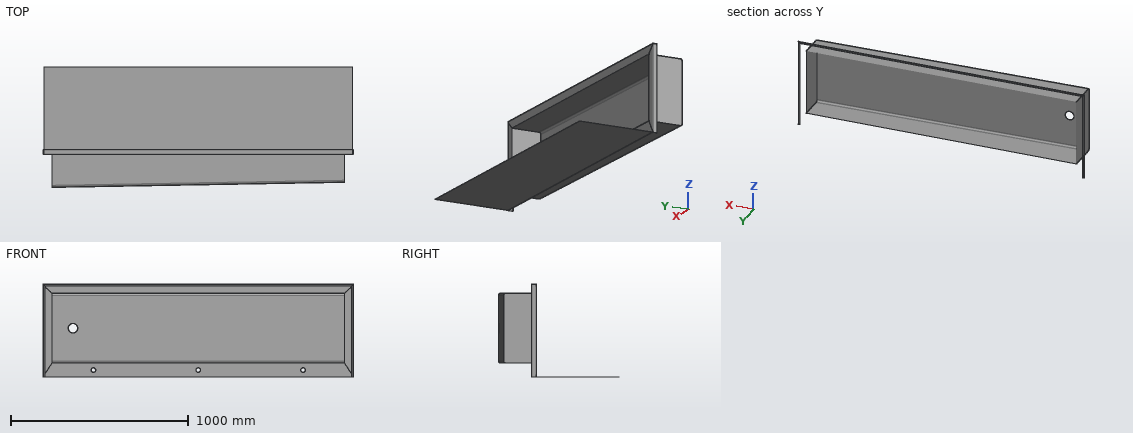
import cadquery as cq
import math

frame_width = 1747.0
frame_height = 524.0
frame_depth = 30.0
sheet = 2.0
return_width = 11.4
lip_bend = 3.0
miter_inset = 9.0

side_flange = 49.0
top_flange = 50.0
bottom_flange = 79.0
box_depth = 215.0
front_taper = 1.0
front_bend = 12.0

shelf_depth = 465.0

drain_diameter = 52.0
drain_x = -705.0
screw_diameter = 25.0
screw_spacing = 590.0
screw_z = 40.0

wrap_end = frame_width / 2 - lip_bend
lip_base = frame_height - lip_bend
box_end = frame_width / 2 - side_flange
box_bottom = bottom_flange
box_top = frame_height - top_flange
box_middle = (box_bottom + box_top) / 2
return_end = frame_width / 2 - return_width
taper_rise = 2 * box_end * math.tan(math.radians(front_taper))


def block(x_range, y_range, z_range):
    """Rectangular block between pairs of X, Y and Z limits."""
    sizes = [high - low for low, high in (x_range, y_range, z_range)]
    corner = (x_range[0], y_range[0], z_range[0])
    return cq.Workplane("XY").box(*sizes, centered=False).translate(corner)


def upright_plate(points, back):
    """Plate one sheet thick with an XZ outline and its rear face at Y = back."""
    return cq.Workplane("XZ", origin=(0, back, 0)).polyline(points).close().extrude(sheet)


def tapered_box(inset):
    """Box with a tapered front and rounded bends, inset from the outer skin at top, bottom and front."""
    front = inset / math.cos(math.radians(front_taper)) - box_depth
    plan = [
        (-box_end, 0),
        (box_end, 0),
        (box_end, front + taper_rise),
        (-box_end, front),
    ]
    height = box_top - box_bottom - 2 * inset
    solid = cq.Workplane("XY", origin=(0, 0, box_bottom + inset)).polyline(plan).close().extrude(height)
    front_bends = solid.faces("<Y").edges("<Z or >Z")
    return front_bends.fillet(front_bend - inset)


def arc_middle(center, radius, x_sign, y_sign):
    """Point halfway along a quarter circle, on the diagonal towards the given signs."""
    reach = radius * math.sqrt(0.5)
    return (center[0] + x_sign * reach, center[1] + y_sign * reach)


def lip_strip(length):
    """Lip with its two bends, open towards -X, standing on X = 0 and running along +Z."""
    inner_radius = lip_bend - sheet
    rear_center = (0, -lip_bend)
    front_center = (0, lip_bend - frame_depth)
    return (
        cq.Workplane("XY")
        .moveTo(0, 0)
        .threePointArc(arc_middle(rear_center, lip_bend, 1, 1), (lip_bend, rear_center[1]))
        .lineTo(lip_bend, front_center[1])
        .threePointArc(arc_middle(front_center, lip_bend, 1, -1), (0, -frame_depth))
        .lineTo(0, sheet - frame_depth)
        .threePointArc(arc_middle(front_center, inner_radius, 1, -1), (inner_radius, front_center[1]))
        .lineTo(inner_radius, rear_center[1])
        .threePointArc(arc_middle(rear_center, inner_radius, 1, 1), (0, -sheet))
        .close()
        .extrude(length)
    )


def hole(diameter, x, z):
    """Cylinder along Y that passes through every sheet in front of the shelf."""
    return cq.Workplane("XZ", origin=(x, 0, z)).circle(diameter / 2).extrude(box_depth)


def make_wrap():
    """Shelf, lower flange, box skin, upper flange and top lip, bent from one sheet."""
    shelf = block((-wrap_end, wrap_end), (-sheet, shelf_depth), (0, sheet))
    lower_flange = upright_plate(
        [
            (-wrap_end, 0),
            (wrap_end, 0),
            (wrap_end, miter_inset),
            (box_end, box_bottom),
            (-box_end, box_bottom),
            (-wrap_end, miter_inset),
        ],
        0,
    )
    upper_flange = upright_plate(
        [
            (-wrap_end, lip_base),
            (wrap_end, lip_base),
            (wrap_end, frame_height - miter_inset),
            (box_end, box_top),
            (-box_end, box_top),
            (-wrap_end, frame_height - miter_inset),
        ],
        0,
    )
    top_lip = lip_strip(2 * wrap_end).rotate((0, 0, 0), (0, 1, 0), -90).translate((wrap_end, 0, lip_base))
    top_return = upright_plate(
        [
            (-wrap_end, lip_base),
            (wrap_end, lip_base),
            (return_end, frame_height - return_width),
            (-return_end, frame_height - return_width),
        ],
        sheet - frame_depth,
    )
    skin = tapered_box(0).cut(tapered_box(sheet))

    wrap = shelf.union(lower_flange).union(skin).union(upper_flange).union(top_lip).union(top_return)
    wrap = wrap.cut(hole(drain_diameter, drain_x, box_middle))
    for x in (-screw_spacing, 0, screw_spacing):
        wrap = wrap.cut(hole(screw_diameter, x, screw_z))
    return wrap


def make_side_panel(side):
    """End wall of the box with its flange, lip and return; side is -1 or 1 along X."""
    wall_slab = block(
        sorted((side * box_end, side * (box_end - sheet))),
        (-box_depth, 0),
        (0, frame_height),
    )
    wall = tapered_box(sheet).intersect(wall_slab)
    flange = upright_plate(
        [
            (side * (box_end - sheet), box_bottom + sheet),
            (side * box_end, box_bottom + sheet),
            (side * box_end, box_bottom),
            (side * wrap_end, miter_inset),
            (side * wrap_end, frame_height - miter_inset),
            (side * box_end, box_top),
            (side * box_end, box_top - sheet),
            (side * (box_end - sheet), box_top - sheet),
        ],
        0,
    )
    lip = lip_strip(frame_height).translate((wrap_end, 0, 0))
    if side < 0:
        lip = lip.mirror("YZ")
    side_return = upright_plate(
        [
            (side * wrap_end, 0),
            (side * return_end, 0),
            (side * return_end, frame_height - return_width),
            (side * wrap_end, lip_base),
        ],
        sheet - frame_depth,
    )
    return wall.union(flange).union(lip).union(side_return)


wrap = make_wrap()
side_panels = [make_side_panel(side) for side in (-1, 1)]

result = cq.Compound.makeCompound([wrap.solids().val(), *[panel.solids().val() for panel in side_panels]])